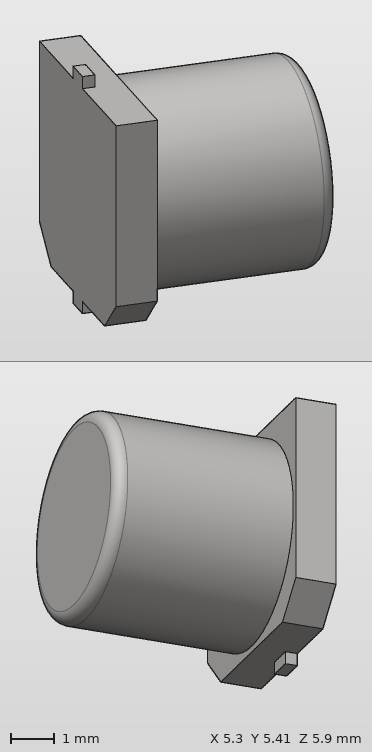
import cadquery as cq

total_height = 5.9
total_depth = 5.41

base_side = 5.3
base_thickness = 1.005
corner_cut = 0.795

can_diameter = 5.005
can_edge_radius = 0.3

terminal_width = 0.65
terminal_thickness = 0.3


def make_base():
    """Base plate with its two lower corners cut off."""
    plate = cq.Workplane("XY").box(
        base_side, base_thickness, base_side, centered=(True, False, True)
    )
    return plate.faces("<Z").edges("|Y").chamfer(corner_cut)


def make_can():
    """Can along +Y with a rounded far rim, starting on the back of the base."""
    can_length = total_depth - base_thickness
    can = (
        cq.Workplane("XZ", origin=(0, base_thickness, 0))
        .circle(can_diameter / 2)
        .extrude(-can_length)
    )
    return can.faces(">Y").edges().fillet(can_edge_radius)


def make_terminals():
    """One strip through the base whose ends form both terminal tabs."""
    return cq.Workplane("XY").box(
        terminal_width, terminal_thickness, total_height, centered=(True, False, True)
    )


result = make_base().union(make_can()).union(make_terminals())